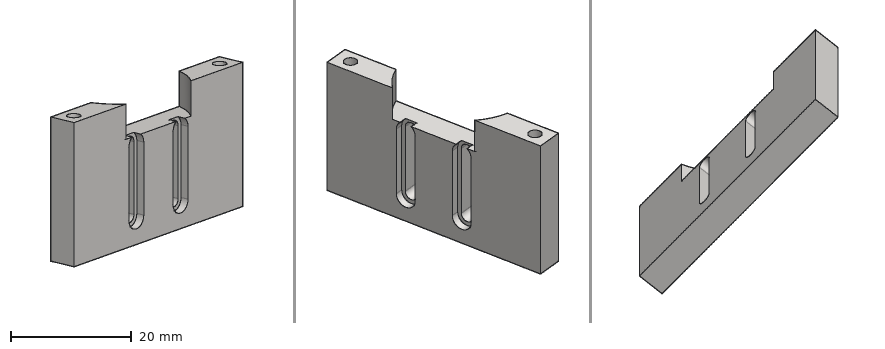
import cadquery as cq

thickness = 5.0
length = 44.0
height = 25.0

notch_radius = 12.0
notch_axis_offset = 3.5
notch_depth = 6.1

bore_diameter = 2.38
slot_spacing = 11.55
slot_length = 15.0
slot_top_gap = 0.4
recess_width = 3.85
recess_depth = 1.5

hole_spacing = 38.0
hole_depth = 10.0

notch_floor = height - notch_depth
slot_center_z = notch_floor - slot_top_gap - slot_length / 2
recess_length = slot_length + recess_width - bore_diameter


def upright_slots(overall_length, width, start_x, depth):
    """Pair of vertical slot cutters running from start_x toward +X."""
    return (
        cq.Workplane("YZ", origin=(start_x, 0, slot_center_z))
        .pushPoints([(-slot_spacing / 2, 0), (slot_spacing / 2, 0)])
        .slot2D(overall_length, width, 90)
        .extrude(depth)
    )


plate = cq.Workplane("XY").box(thickness, length, height, centered=(True, True, False))

notch = (
    cq.Workplane("XY", origin=(-thickness / 2 - notch_axis_offset, 0, notch_floor))
    .circle(notch_radius)
    .extrude(notch_depth)
)

through_slots = upright_slots(slot_length, bore_diameter, -thickness / 2, thickness)

head_recesses = upright_slots(
    recess_length, recess_width, thickness / 2 - recess_depth, recess_depth
)

top_holes = (
    cq.Workplane("XY", origin=(0, 0, height))
    .pushPoints([(0, -hole_spacing / 2), (0, hole_spacing / 2)])
    .circle(bore_diameter / 2)
    .extrude(-hole_depth)
)

result = plate.cut(notch).cut(through_slots).cut(head_recesses).cut(top_holes)